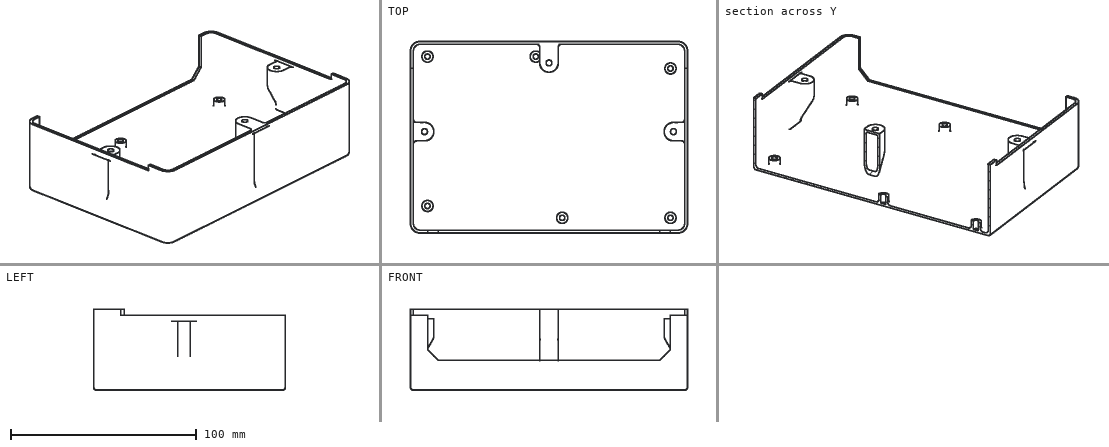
import cadquery as cq
import math

LENGTH = 149.2
WIDTH = 103.2
HEIGHT = 43.6
WALL = 1.6
FLOOR = 1.6
CORNER_RADIUS = 5.2
EDGE_FILLET = 1.6

RIM_STEP = 3.2
RIM_Z = HEIGHT - RIM_STEP
BACK_STRIP = 14.6

OPENING_WIDTH = 130.4
OPENING_SILL_Z = 16.0
OPENING_CHAMFER = 5.7

BOSS_RADIUS = 5.0
BOSS_EDGE_FILLET = 2 * WALL
BOSS_ROOT_FILLET = WALL
BOSS_HOLE = 3.2
BOSS_SLOPE = math.radians(60)
BACK_BOSS_DEPTH = 10.0
BACK_BOSS_TIP_Z = 31.2
SIDE_BOSS_DEPTH = 6.0
SIDE_BOSS_TIP_Z = 28.2
SIDE_BOSS_TOP_Z = HEIGHT - 5.0
SIDE_BOSS_Y = 3.0

STANDOFF_DIAMETER = 6.0
STANDOFF_HOLE = 2.85
STANDOFF_HEIGHT = 5.0
STANDOFF_FILLET = 1.6
STANDOFF_POINTS = ((-65.4, 43.4), (-7.1, 43.4), (65.4, 37.0))

PLATE_THICKNESS = WALL / 2
EXTRA = 10.0
TOLERANCE = 0.01

INNER_LENGTH = LENGTH - 2 * WALL
INNER_WIDTH = WIDTH - 2 * WALL


def tray():
    """Rounded open box with filleted bottom edges inside and outside."""
    shell = cq.Workplane("XY").box(LENGTH, WIDTH, HEIGHT, centered=(True, True, False))
    shell = shell.edges("|Z").fillet(CORNER_RADIUS).faces("<Z").edges().fillet(EDGE_FILLET)
    cavity = (
        cq.Workplane("XY")
        .workplane(offset=FLOOR)
        .box(INNER_LENGTH, INNER_WIDTH, HEIGHT, centered=(True, True, False))
    )
    cavity = cavity.edges("|Z").fillet(CORNER_RADIUS - WALL).faces("<Z").edges().fillet(EDGE_FILLET)
    return shell.cut(cavity)


def rim_step():
    """Volume removed above the lowered rim, in front of the back strip."""
    return (
        cq.Workplane("XY")
        .workplane(offset=RIM_Z)
        .center(0, -BACK_STRIP)
        .rect(2 * LENGTH, WIDTH)
        .extrude(HEIGHT)
    )


def front_opening():
    """Cutter for the front wall opening with chamfered lower corners."""
    half = OPENING_WIDTH / 2
    return (
        cq.Workplane("XZ", origin=(0, -INNER_WIDTH / 2, 0))
        .moveTo(-half, HEIGHT)
        .lineTo(-half, OPENING_SILL_Z + OPENING_CHAMFER)
        .lineTo(-half + OPENING_CHAMFER, OPENING_SILL_Z)
        .lineTo(half - OPENING_CHAMFER, OPENING_SILL_Z)
        .lineTo(half, OPENING_SILL_Z + OPENING_CHAMFER)
        .lineTo(half, HEIGHT)
        .close()
        .extrude(2 * WALL, both=True)
    )


def rib(depth, radius, tip_z, top_z, edge_fillet, flare):
    """Round-nosed rib growing toward -Y from Y = 0, with a sloping, edge-filleted underside.

    depth is the distance from Y = 0 to the nose centre and tip_z the height at which the
    underside meets the nose. flare is the radius that widens the sides where they meet Y = 0.
    """
    nose = depth + radius
    bend = flare * (1 - math.sqrt(0.5))
    profile = cq.Workplane("XY").moveTo(radius, -depth).threePointArc((0, -nose), (-radius, -depth))
    if flare:
        profile = (
            profile.lineTo(-radius, -flare)
            .threePointArc((-radius - bend, -bend), (-radius - flare, 0))
            .lineTo(-radius - flare, PLATE_THICKNESS)
            .lineTo(radius + flare, PLATE_THICKNESS)
            .lineTo(radius + flare, 0)
            .threePointArc((radius + bend, -bend), (radius, -flare))
        )
    else:
        profile = profile.lineTo(-radius, PLATE_THICKNESS).lineTo(radius, PLATE_THICKNESS)
    body = profile.close().extrude(top_z)

    slope_run = nose + EXTRA
    slope_end_z = tip_z - slope_run * math.tan(BOSS_SLOPE)
    slope_start_z = tip_z + EXTRA * math.tan(BOSS_SLOPE)
    below = (
        cq.Workplane("YZ")
        .moveTo(-nose - EXTRA, slope_start_z)
        .lineTo(-nose + slope_run, slope_end_z)
        .lineTo(-nose - EXTRA, slope_end_z)
        .close()
        .extrude(2 * radius, both=True)
    )
    body = body.cut(below)
    slope_normal = cq.Vector(0, -math.sin(BOSS_SLOPE), -math.cos(BOSS_SLOPE))
    underside = body.faces(cq.selectors.DirectionMinMaxSelector(slope_normal))
    nose_edges = cq.selectors.BoxSelector(
        (-2 * radius, -nose - EXTRA, -HEIGHT),
        (2 * radius, -TOLERANCE, HEIGHT),
    )
    return underside.edges(nose_edges).fillet(edge_fillet)


def recess(depth, radius, tip_z, top_z, edge_fillet, mouth_fillet):
    """Rib-shaped hollow whose mouth at Y = 0 is rounded along the sides and the bottom."""
    plate_bottom = FLOOR + EDGE_FILLET
    over_z = top_z + EXTRA
    plate = cq.Workplane("XY", origin=(0, PLATE_THICKNESS / 2, plate_bottom)).box(
        6 * radius, PLATE_THICKNESS, over_z - plate_bottom, centered=(True, True, False)
    )
    mouth = cq.selectors.BoxSelector(
        (-1.1 * radius, -TOLERANCE, plate_bottom + TOLERANCE),
        (1.1 * radius, TOLERANCE, over_z - TOLERANCE),
    )
    core = rib(depth, radius, tip_z, over_z, edge_fillet, 0)
    body = core.union(plate).edges(mouth).fillet(mouth_fillet)
    above = cq.Workplane("XY", origin=(0, 0, top_z)).box(
        8 * radius, 4 * (depth + radius), 2 * EXTRA, centered=(True, True, False)
    )
    return body.cut(above)


def add_boss(body, wall_point, turn, depth, tip_z, top_z):
    """Add one hollow boss to a wall: bulge inside, recess outside, screw hole in its top."""

    def place(shape):
        return shape.rotate((0, 0, 0), (0, 0, 1), turn).translate(wall_point)

    slope_rise = WALL / math.cos(BOSS_SLOPE) - WALL * math.tan(BOSS_SLOPE)
    outside = rib(depth, BOSS_RADIUS, tip_z, top_z, BOSS_EDGE_FILLET, BOSS_ROOT_FILLET)
    hollow = recess(
        depth + WALL,
        BOSS_RADIUS - WALL,
        tip_z + slope_rise,
        top_z - WALL,
        BOSS_EDGE_FILLET - WALL,
        BOSS_ROOT_FILLET + WALL,
    ).translate((0, WALL, 0))
    hole = cq.Workplane("XY", origin=(0, -depth, top_z - 2 * WALL)).circle(BOSS_HOLE / 2).extrude(3 * WALL)
    return body.union(place(outside)).cut(place(hollow)).cut(place(hole))


def add_standoff(body, point):
    """Add one standoff with a flared foot and a blind hole down to the floor."""
    radius = STANDOFF_DIAMETER / 2
    foot_radius = radius + STANDOFF_FILLET
    bend = STANDOFF_FILLET * (1 - math.sqrt(0.5))
    post = (
        cq.Workplane("XZ")
        .moveTo(STANDOFF_HOLE / 2, 0)
        .lineTo(foot_radius, 0)
        .threePointArc((radius + bend, bend), (radius, STANDOFF_FILLET))
        .lineTo(radius, STANDOFF_HEIGHT)
        .lineTo(STANDOFF_HOLE / 2, STANDOFF_HEIGHT)
        .close()
        .revolve(360, (0, 0, 0), (0, 1, 0))
    )
    return body.union(post.translate((point[0], point[1], FLOOR)))


result = tray().cut(rim_step()).cut(front_opening())
result = add_boss(
    result, (0, INNER_WIDTH / 2, 0), 0, BACK_BOSS_DEPTH, BACK_BOSS_TIP_Z, HEIGHT
)
for side in (-1, 1):
    side_wall = (side * INNER_LENGTH / 2, SIDE_BOSS_Y, 0)
    result = add_boss(
        result, side_wall, -90 * side, SIDE_BOSS_DEPTH, SIDE_BOSS_TIP_Z, SIDE_BOSS_TOP_Z
    )
for x, y in STANDOFF_POINTS:
    for sign in (1, -1):
        result = add_standoff(result, (sign * x, sign * y))